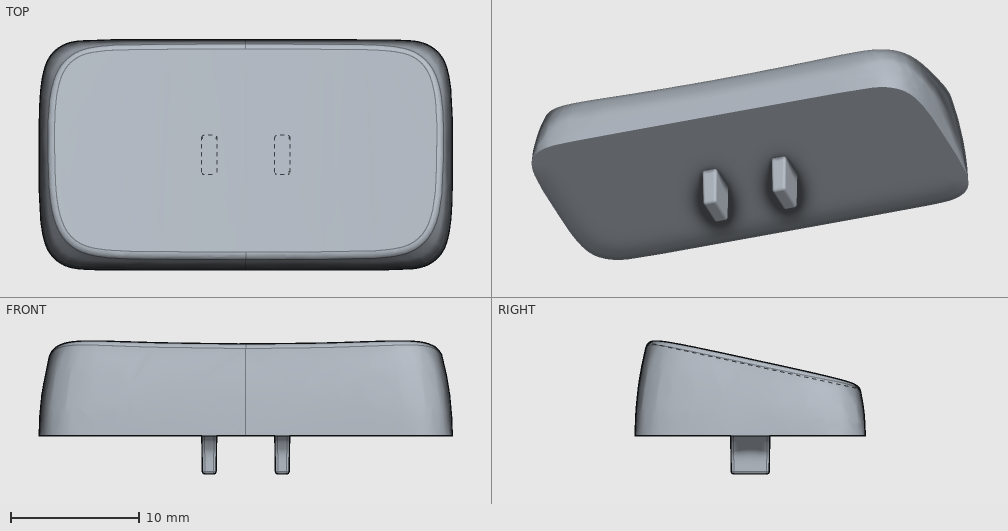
import cadquery as cq

CAP_LENGTH = 32.28
CAP_WIDTH = 18.0

TILT = 12.3
DISH_RADIUS = 240.0
DISH_CENTRE_HEIGHT = 5.53
RIM_FILLET = 0.5

TOP_SECTION_HEIGHT = 7.2
TOP_INSET_SIDE = 1.17
TOP_INSET_FRONT = 1.25
TOP_INSET_BACK = 0.7
WALL_FRACTIONS = (0, 0.5, 1)

BASE_EXPONENT_X = 14.0
BASE_EXPONENT_Y = 4.0
TOP_EXPONENT_X = 8.4
TOP_EXPONENT_Y = 3.0
CORNER_SHARE = 0.5
LONG_EDGE_STEPS = (0.3, 0.6, 0.8, 0.92, 1.0)
SHORT_EDGE_STEPS = (0.85, 0.6, 0.3)

LEG_HEIGHT = 2.98
LEG_SPACING = 5.7
LEG_THICKNESS = 1.19
LEG_WIDTH = 3.08
LEG_DRAFT = 1.0
LEG_FILLET = 0.22


def blend(start, end, fraction):
    return start + (end - start) * fraction


def wall_section(fraction):
    """Rounded, bowed outline of the cap at a fraction of the wall height (0 = base, 1 = top)."""
    inset = fraction**2
    half_length = CAP_LENGTH / 2 - TOP_INSET_SIDE * inset
    front = -CAP_WIDTH / 2 + TOP_INSET_FRONT * inset
    back = CAP_WIDTH / 2 - TOP_INSET_BACK * inset
    half_width = (back - front) / 2
    middle = (front + back) / 2
    exponent_x = blend(BASE_EXPONENT_X, TOP_EXPONENT_X, fraction)
    exponent_y = blend(BASE_EXPONENT_Y, TOP_EXPONENT_Y, fraction)

    quarter = []
    for step in LONG_EDGE_STEPS:
        x = step * CORNER_SHARE ** (1 / exponent_x)
        quarter.append((x, (1 - x**exponent_x) ** (1 / exponent_y)))
    for step in SHORT_EDGE_STEPS:
        y = step * CORNER_SHARE ** (1 / exponent_y)
        quarter.append(((1 - y**exponent_y) ** (1 / exponent_x), y))

    front_right = [(half_length * x, middle - half_width * y) for x, y in quarter]
    back_right = [(half_length * x, middle + half_width * y) for x, y in reversed(quarter)]
    right_half = front_right + [(half_length, middle)] + back_right
    left_half = [(-x, y) for x, y in reversed(right_half)]

    outline = (
        cq.Workplane("XY")
        .moveTo(0, front)
        .spline(right_half + [(0, back)], tangents=[(1, 0), (-1, 0)], includeCurrent=True)
        .spline(left_half + [(0, front)], tangents=[(-1, 0), (1, 0)], includeCurrent=True)
        .close()
        .val()
    )
    tilted = outline.rotate(cq.Vector(0, 0, 0), cq.Vector(1, 0, 0), -TILT * fraction)
    return tilted.translate(cq.Vector(0, 0, TOP_SECTION_HEIGHT * fraction))


def dish_cutter():
    """Cylinder whose underside is the typing surface."""
    length = 3 * CAP_WIDTH
    return (
        cq.Workplane("XZ")
        .center(0, DISH_RADIUS)
        .circle(DISH_RADIUS)
        .extrude(length / 2, both=True)
        .rotate((0, 0, 0), (1, 0, 0), -TILT)
        .translate((0, 0, DISH_CENTRE_HEIGHT))
    )


def make_cap():
    sections = [wall_section(fraction) for fraction in WALL_FRACTIONS]
    walls = cq.Workplane(cq.Solid.makeLoft(sections))
    dished = walls.cut(dish_cutter())
    return dished.faces(">Z").edges().fillet(RIM_FILLET)


def make_leg(x):
    leg = (
        cq.Workplane("XY")
        .rect(LEG_THICKNESS, LEG_WIDTH)
        .extrude(-LEG_HEIGHT, taper=LEG_DRAFT)
    )
    rounded = leg.edges("not >Z").fillet(LEG_FILLET)
    return rounded.translate((x, 0, 0))


result = make_cap()
for leg_x in (-LEG_SPACING / 2, LEG_SPACING / 2):
    result = result.union(make_leg(leg_x))